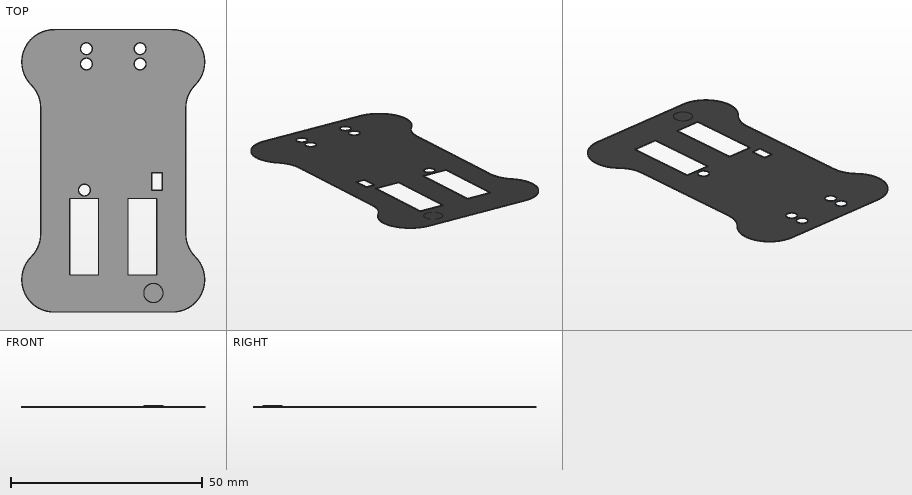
import cadquery as cq
import math

length = 74.0
end_width = 47.95
waist_width = 38.0
corner_radius = 8.5
neck_radius = 8.5

total_height = 0.5
plate_thickness = 0.2
disc_thickness = total_height - plate_thickness

hole_diameter = 3.0
pair_hole_x = 7.0
pair_hole_ys = (28.0, 32.0)

single_hole_center = (-7.55, -5.0)

slot_width = 7.4
slot_length = 20.0
slot_x = 7.6
slot_y = -17.25

window_width = 2.7
window_length = 4.5
window_center = (11.5, -2.8)

disc_diameter = 5.0
disc_center = (10.5, -32.0)


def make_quarter():
    """One quarter of the plate: a round lobe that blends into the narrower waist."""
    half_length = length / 2
    half_end = end_width / 2
    half_waist = waist_width / 2

    lobe_x = half_end - corner_radius
    lobe_y = half_length - corner_radius
    neck_x = half_waist + neck_radius
    center_distance = corner_radius + neck_radius
    neck_y = lobe_y - math.sqrt(center_distance**2 - (neck_x - lobe_x) ** 2)

    share = corner_radius / center_distance
    joint_x = lobe_x + share * (neck_x - lobe_x)
    joint_y = lobe_y + share * (neck_y - lobe_y)

    neck_angle = math.atan2(joint_y - neck_y, neck_x - joint_x) / 2
    neck_mid_x = neck_x - neck_radius * math.cos(neck_angle)
    neck_mid_y = neck_y + neck_radius * math.sin(neck_angle)

    return (
        cq.Workplane("XY")
        .moveTo(0, half_length)
        .lineTo(lobe_x, half_length)
        .threePointArc((half_end, lobe_y), (joint_x, joint_y))
        .threePointArc((neck_mid_x, neck_mid_y), (half_waist, neck_y))
        .lineTo(half_waist, 0)
        .lineTo(0, 0)
        .close()
        .extrude(plate_thickness)
    )


def make_blank():
    """Mirror one quarter of the plate about both of its centre planes."""
    quarter = make_quarter()
    half = quarter.union(quarter.mirror("YZ"))
    return half.union(half.mirror("XZ")).clean()


def make_plate():
    """Plate with its round holes, slots and window cut through."""
    hole_centers = [(side * pair_hole_x, y) for side in (-1, 1) for y in pair_hole_ys]
    hole_centers.append(single_hole_center)
    slot_centers = [(side * slot_x, slot_y) for side in (-1, 1)]

    cutters = cq.Workplane("XY")
    holes = cutters.pushPoints(hole_centers).circle(hole_diameter / 2).extrude(plate_thickness)
    slots = cutters.pushPoints(slot_centers).rect(slot_width, slot_length).extrude(plate_thickness)
    window = cutters.center(*window_center).rect(window_width, window_length).extrude(plate_thickness)
    return make_blank().cut(holes).cut(slots).cut(window)


def make_disc():
    """Thin round disc resting on the top face of the plate."""
    return (
        cq.Workplane("XY", origin=(*disc_center, plate_thickness))
        .circle(disc_diameter / 2)
        .extrude(disc_thickness)
    )


plate = make_plate()
disc = make_disc()

result = cq.Compound.makeCompound([plate.val(), disc.val()])